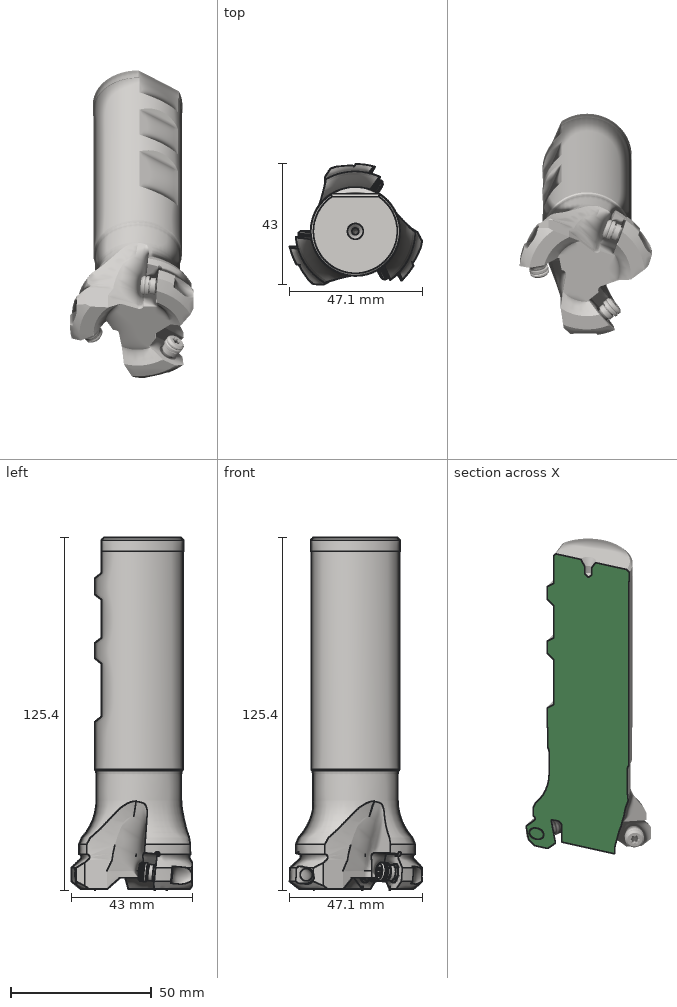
import cadquery as cq
import math

total_height = 125.0
shank_radius = 15.75
cap_radius = 15.9
cap_bottom_z = 120.1
shank_bottom_z = 42.6
shank_end_radius = 15.35
shank_end_z = 42.1
end_chamfer = 1.0
flat_y = 13.35
flat_depth = shank_radius - flat_y
flat_end_run = 1.9
flat_ranges = [(61.3, 80.2), (89.3, 102.9), (112.3, total_height)]

centre_mouth_radius = 2.8
centre_pilot_radius = 1.2
centre_half_angle = math.radians(30)
centre_pilot_depth = 3.0

neck_radius = 15.15
neck_top_z = 41.0
neck_bottom_z = 31.5
flare_end_radius = 20.3
flare_end_z = 18.3
collar_radius = 21.3
collar_top_z = 15.9
collar_bottom_z = 12.5
groove_radius = 20.5
groove_bottom_z = 10.6
groove_bottom_radius = 20.9
tooth_radius = 24.0
tooth_top_z = 7.55
tooth_chamfer_height = 2.8
tooth_chamfer_width = 3.4
tooth_count = 3

recess_mouth_radius = 15.6
recess_depth = 4.0

wall_y_at_base = -1.1
wall_lean = 0.07
flute_reach = 40.0
flute_corner_fillet = 1.6
flute_overlap = 0.6
inner_floor_sections = [
    (6.5, -7.0, (-10.75, 10.9)),
    (15.0, -8.8, (-11.4, 8.7)),
    (24.0, -12.3, (-12.6, 5.2)),
    (34.0, -16.6, (-16.6, 1.5)),
]
outer_floor_sections = [
    (10.4, (-10.9, 10.3), 0.01),
    (15.0, (-11.4, 8.7), 0.10),
    (24.0, (-12.6, 5.2), 0.055),
    (34.0, (-16.9, 1.5), 0.04),
]

trailing_inner = (-10.8, 19.3)
trailing_outer = (-8.75, 22.5)
trailing_top_z = 11.2

seat_centre = (-17.1, -6.0, 5.7)
axis_rise = math.radians(5.5)
axis_swing = math.radians(3.0)

pocket_inner = -8.0
pocket_top = 6.8
pocket_reach = 20.0
pocket_depth = 8.0
pocket_corner_fillet = 1.5
relief_radius = 0.8
relief_length = 6.0

spur_x = -14.7
spur_width = 0.5
spur_height = 0.37
spur_thickness = 0.4
spur_root = 1.0

shaft_radius = 2.2
shaft_length = 5.8
flange_radius = 2.9
flange_start = 0.9
flange_end = 2.6
head_start = 3.2
head_radius = 3.4
head_end = 6.0
head_chamfer = 0.7
head_groove_middle = 4.4
head_groove_depth = 0.35
seat_ring_radius = 3.4
seat_ring_depth = 0.4
socket_core_radius = 1.3
socket_lobe_radius = 0.45
socket_lobes = 6
socket_depth = 1.8

slot_radius = 3.05
slot_reach = 20.0

seat_normal = cq.Vector(
    math.sin(axis_swing), math.cos(axis_swing) * math.cos(axis_rise), math.sin(axis_rise)
)
seat_plane = cq.Plane(origin=seat_centre, xDir=(-1, math.tan(axis_swing), 0), normal=seat_normal.toTuple())


def turned_blank():
    flare_rise = neck_bottom_z - flare_end_z
    flare_spread = flare_end_radius - neck_radius
    flare_arc_radius = (flare_rise**2 + flare_spread**2) / (2 * flare_spread)
    half_sweep = math.asin(flare_rise / flare_arc_radius) / 2
    flare_middle = (
        neck_radius + flare_arc_radius * (1 - math.cos(half_sweep)),
        neck_bottom_z - flare_arc_radius * math.sin(half_sweep),
    )
    groove_middle_z = (groove_bottom_z + collar_bottom_z) / 2
    return (
        cq.Workplane("XZ")
        .moveTo(0, 0)
        .lineTo(tooth_radius - tooth_chamfer_width, 0)
        .lineTo(tooth_radius, tooth_chamfer_height)
        .lineTo(tooth_radius, tooth_top_z)
        .lineTo(groove_bottom_radius, groove_bottom_z)
        .threePointArc((groove_radius, groove_middle_z), (collar_radius, collar_bottom_z))
        .lineTo(collar_radius, collar_top_z)
        .lineTo(flare_end_radius, flare_end_z)
        .threePointArc(flare_middle, (neck_radius, neck_bottom_z))
        .lineTo(neck_radius, neck_top_z)
        .lineTo(shank_end_radius, shank_end_z)
        .lineTo(shank_radius, shank_bottom_z)
        .lineTo(shank_radius, cap_bottom_z)
        .lineTo(cap_radius, cap_bottom_z)
        .lineTo(cap_radius, total_height - end_chamfer)
        .lineTo(cap_radius - end_chamfer, total_height)
        .lineTo(0, total_height)
        .close()
        .revolve(360, (0, 0), (0, 1))
    )


def shank_flat(bottom_z, top_z):
    """Cutter for one flat; an end that lies inside the shank slopes outwards."""
    outer_y = flat_y + 2 * flat_depth
    spread = 2 * flat_end_run
    outer_top_z = top_z if top_z == total_height else top_z + spread
    corners = [
        (flat_y, bottom_z),
        (flat_y, top_z),
        (outer_y, outer_top_z),
        (outer_y, bottom_z - spread),
    ]
    return (
        cq.Workplane("YZ")
        .polyline(corners)
        .close()
        .extrude(cap_radius, both=True)
    )


def flat_end_chamfer():
    return (
        cq.Workplane("YZ")
        .polyline(
            [
                (flat_y - end_chamfer, total_height),
                (flat_y, total_height - end_chamfer),
                (flat_y, total_height),
            ]
        )
        .close()
        .extrude(cap_radius, both=True)
    )


def centre_drilling():
    cone_depth = (centre_mouth_radius - centre_pilot_radius) / math.tan(centre_half_angle)
    pilot_end_z = total_height - cone_depth - centre_pilot_depth
    return (
        cq.Workplane("XZ")
        .polyline(
            [
                (0, total_height),
                (centre_mouth_radius, total_height),
                (centre_pilot_radius, total_height - cone_depth),
                (centre_pilot_radius, pilot_end_z),
                (0, pilot_end_z - centre_pilot_radius),
            ]
        )
        .close()
        .revolve(360, (0, 0), (0, 1))
    )


def bottom_recess():
    return cq.Workplane(
        cq.Solid.makeCone(recess_mouth_radius, recess_mouth_radius - recess_depth, recess_depth)
    )


def outline_at(z, points):
    return cq.Wire.makePolygon([cq.Vector(x, y, z) for x, y in points], close=True)


def inner_floor_outline(z, corner_x, bend):
    wall_y = wall_y_at_base - wall_lean * z
    bend_x, bend_y = bend
    end_x = bend_x + flute_overlap * (bend_x - corner_x)
    end_y = bend_y + flute_overlap * (bend_y - wall_y)
    return outline_at(z, [(-flute_reach, wall_y), (corner_x, wall_y), (end_x, end_y), (-flute_reach, end_y)])


def outer_floor_outline(z, bend, slope):
    bend_x, bend_y = bend
    start_y = bend_y * (1 - flute_overlap)
    start_x = bend_x + slope * (start_y - bend_y)
    far_x = bend_x + slope * (flute_reach - bend_y)
    return outline_at(
        z, [(-flute_reach, start_y), (start_x, start_y), (far_x, flute_reach), (-flute_reach, flute_reach)]
    )


def floor_cutters(outlines, bottom_z):
    """The leaning upper cutter and the upright one below it."""
    upper = cq.Workplane(cq.Solid.makeLoft(outlines))
    lower = cq.Workplane(cq.Solid.extrudeLinear(outlines[0], [], cq.Vector(0, 0, -2 * bottom_z)))
    return upper, lower


def flute():
    """The cutters of one flute, with the corner between wall and inner floor rounded."""
    bottom_z, corner_x, _ = inner_floor_sections[0]
    middle_z, middle_x, _ = inner_floor_sections[1]
    outer_bottom_z = outer_floor_sections[0][0]
    inner = floor_cutters([inner_floor_outline(*row) for row in inner_floor_sections], bottom_z)
    outer = floor_cutters([outer_floor_outline(*row) for row in outer_floor_sections], outer_bottom_z)
    rounded = []
    for part, x, z in zip(inner, (middle_x, corner_x), (middle_z, 0)):
        corner = (x, wall_y_at_base - wall_lean * max(z, bottom_z), z)
        rounded.append(part.edges(cq.selectors.NearestToPointSelector(corner)).fillet(flute_corner_fillet))
    return *rounded, *outer


def trailing_bevel():
    run_x = trailing_outer[0] - trailing_inner[0]
    run_y = trailing_outer[1] - trailing_inner[1]
    stretch = (flute_reach - trailing_inner[1]) / run_y
    far = (trailing_inner[0] + stretch * run_x, flute_reach)
    return (
        cq.Workplane("XY")
        .polyline([trailing_inner, far, (-flute_reach, flute_reach), (-flute_reach, trailing_inner[1])])
        .close()
        .extrude(trailing_top_z)
    )


def insert_pocket():
    pocket = (
        cq.Workplane(seat_plane)
        .moveTo(pocket_inner, -pocket_reach)
        .lineTo(pocket_inner, pocket_top - pocket_corner_fillet)
        .radiusArc((pocket_inner + pocket_corner_fillet, pocket_top), pocket_corner_fillet)
        .lineTo(pocket_reach, pocket_top)
        .lineTo(pocket_reach, -pocket_reach)
        .close()
        .extrude(pocket_depth)
    )
    relief_plane = cq.Plane(
        origin=seat_plane.toWorldCoords((0, pocket_top, 0)), xDir=seat_normal, normal=seat_plane.xDir
    )
    relief = cq.Workplane(relief_plane).circle(relief_radius).extrude(relief_length)
    return pocket.union(relief)


def screw_hole():
    shaft = cq.Workplane(seat_plane).circle(shaft_radius).extrude(-shaft_length)
    ring = cq.Workplane(seat_plane).circle(seat_ring_radius).extrude(-seat_ring_depth)
    return shaft.union(ring)


def screw_slot():
    return (
        cq.Workplane(seat_plane)
        .workplane(offset=-shaft_length)
        .moveTo(slot_reach, slot_radius)
        .lineTo(0, slot_radius)
        .threePointArc((-slot_radius, 0), (0, -slot_radius))
        .lineTo(slot_reach, -slot_radius)
        .close()
        .extrude(-slot_reach)
    )


def screw():
    """Screw turned about the seat normal, with a six-lobed socket in its head."""
    groove_bottom_radius = head_radius - head_groove_depth
    groove_start = head_groove_middle - head_groove_depth
    groove_end = head_groove_middle + head_groove_depth
    turned = (
        cq.Workplane("XZ")
        .polyline(
            [
                (0, -shaft_length),
                (shaft_radius, -shaft_length),
                (shaft_radius, flange_start),
                (flange_radius, flange_start),
                (flange_radius, flange_end),
                (shaft_radius, flange_end),
                (shaft_radius, head_start),
                (head_radius, head_start),
                (head_radius, groove_start),
                (groove_bottom_radius, head_groove_middle),
                (head_radius, groove_end),
                (head_radius, head_end - head_chamfer),
                (head_radius - head_chamfer, head_end),
                (0, head_end),
            ]
        )
        .close()
        .revolve(360, (0, 0), (0, 1))
    )
    head_face = cq.Workplane("XY", origin=(0, 0, head_end))
    core = head_face.circle(socket_core_radius).extrude(-socket_depth)
    lobes = (
        head_face.polarArray(socket_core_radius, 0, 360, socket_lobes)
        .circle(socket_lobe_radius)
        .extrude(-socket_depth)
    )
    finished = turned.cut(core).cut(lobes)
    return cq.Workplane(finished.val().located(seat_plane.location))


def spur():
    seat_bottom = seat_centre[1] + seat_centre[2] * math.tan(axis_rise)
    return (
        cq.Workplane("XZ", origin=(spur_x, seat_bottom, 0))
        .polyline([(-spur_width / 2, spur_root), (spur_width / 2, spur_root), (0, -spur_height)])
        .close()
        .extrude(spur_thickness)
    )


def around(shape, index):
    return shape.rotate((0, 0, 0), (0, 0, 1), index * 360 / tooth_count)


cutter = turned_blank()
for bottom_z, top_z in flat_ranges:
    cutter = cutter.cut(shank_flat(bottom_z, top_z))
cutter = cutter.cut(flat_end_chamfer()).cut(centre_drilling()).cut(bottom_recess())
for i in range(tooth_count):
    for tool in (*flute(), trailing_bevel(), insert_pocket(), screw_slot(), screw_hole()):
        cutter = cutter.cut(around(tool, i))
for i in range(tooth_count):
    cutter = cutter.union(around(spur(), i))

screws = [around(screw(), i) for i in range(tooth_count)]
result = cq.Compound.makeCompound([cutter.val(), *[s.val() for s in screws]])